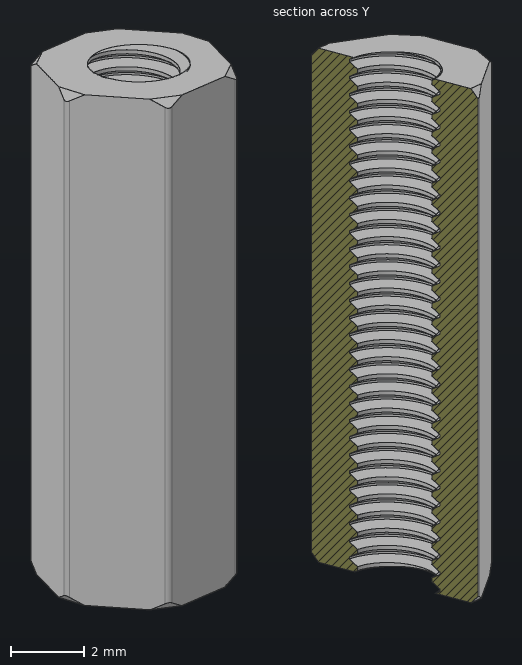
import cadquery as cq
import math

length = 15.0
across_flats = length / 3
edge_radius = 0.2
end_chamfer = 0.24

minor_diameter = 2.54
major_diameter = 3.09
turns = 30
pitch = length / turns
root_flat = pitch / 8
flank_half_angle = math.radians(30)
bore_overlap = 0.05
runout_turns = 1

hex_corner_to_corner = across_flats / math.cos(math.radians(30))
corner_setback = edge_radius / math.cos(math.radians(30)) - edge_radius
rounded_corner_radius = hex_corner_to_corner / 2 - corner_setback


def make_hex_bar():
    """Hexagonal bar with flats facing +Y and -Y and rounded long edges."""
    bar = cq.Workplane("XY").polygon(6, hex_corner_to_corner).extrude(length)
    return bar.edges("|Z").fillet(edge_radius)


def chamfer_corners(bar):
    """Cut a flat 45 degree bevel on every corner at both ends."""
    outside = rounded_corner_radius + end_chamfer
    chamfer_end = rounded_corner_radius - end_chamfer
    envelope_profile = [
        (-chamfer_end, 0),
        (chamfer_end, 0),
        (outside, 2 * end_chamfer),
        (outside, length - 2 * end_chamfer),
        (chamfer_end, length),
        (-chamfer_end, length),
        (-outside, length - 2 * end_chamfer),
        (-outside, 2 * end_chamfer),
    ]
    envelope = cq.Workplane("XZ").polyline(envelope_profile).close().extrude(across_flats, both=True)
    for angle in (0, 60, 120):
        bar = bar.intersect(envelope.rotate((0, 0, 0), (0, 0, 1), angle))
    return bar


def make_thread_cutter():
    """Right-hand helical groove whose root meets both end faces on the +Y side."""
    minor_radius = minor_diameter / 2
    major_radius = major_diameter / 2
    inner_radius = minor_radius - bore_overlap
    root_half = root_flat / 2
    mouth_half = root_half + (major_radius - inner_radius) * math.tan(flank_half_angle)
    helix = cq.Wire.makeHelix(pitch, length + 2 * runout_turns * pitch, minor_radius)
    groove = (
        cq.Workplane("XZ")
        .polyline([
            (inner_radius, -mouth_half),
            (major_radius, -root_half),
            (major_radius, root_half),
            (inner_radius, mouth_half),
        ])
        .close()
        .sweep(cq.Workplane(helix), isFrenet=True)
    )
    return groove.rotate((0, 0, 0), (0, 0, 1), 90).translate((0, 0, -runout_turns * pitch))


standoff = chamfer_corners(make_hex_bar())
grooved = standoff.cut(make_thread_cutter())
bore_core = cq.Workplane("XY").circle(minor_diameter / 2).extrude(length)
result = grooved.cut(bore_core)